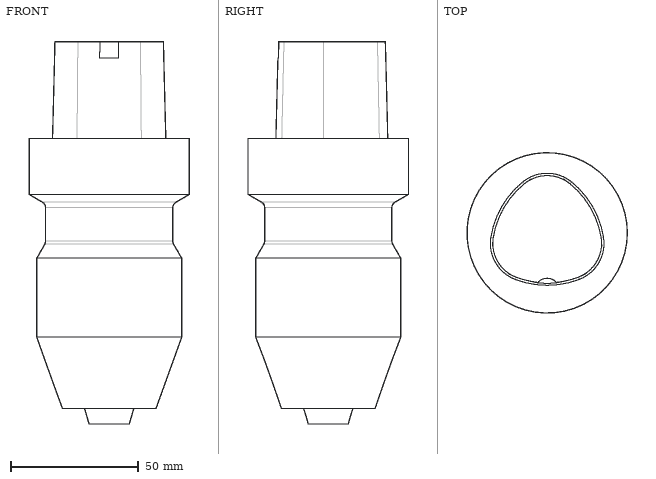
import cadquery as cq
import math

SHANK_LENGTH = 38.0
COLLAR_HEIGHT = 22.0
BODY_TOP = -47.0
BODY_BOTTOM = -78.0
JAW_CONE_BOTTOM = -106.0
NOSE_BOTTOM = -112.1

COLLAR_RADIUS = 63.0 / 2
NECK_RADIUS = 50.0 / 2
BODY_RADIUS = 57.0 / 2
JAW_CONE_END_RADIUS = 18.4
NOSE_TOP_RADIUS = 9.7
NOSE_END_RADIUS = 7.9

COLLAR_CONE_SLOPE = math.radians(30)
BODY_CONE_SLOPE = math.radians(30)
NECK_FILLET_RADIUS = 2.5

MEAN_RADIUS = 22.0
LOBE_HEIGHT = 1.41
LOBE_RADIUS = 15.1
SHANK_TAPER_ANGLE = math.degrees(math.atan(1 / 40))
LOBE_COUNT = 3
FIRST_LOBE_ANGLE = 90

NOTCH_RADIUS = 4.8
NOTCH_LENGTH = 6.4
NOTCH_FLOOR_Y = -17.8


def polar(radius, degrees):
    """Point at a radius and an angle from +X."""
    angle = math.radians(degrees)
    return (radius * math.cos(angle), radius * math.sin(angle))


def make_body():
    """Collar, neck, chuck body, jaw cone and nose, turned about Z."""
    collar_bottom = -COLLAR_HEIGHT
    neck_top = collar_bottom - (COLLAR_RADIUS - NECK_RADIUS) * math.tan(COLLAR_CONE_SLOPE)
    neck_bottom = BODY_TOP + (BODY_RADIUS - NECK_RADIUS) / math.tan(BODY_CONE_SLOPE)
    half_profile = [
        (0, 0),
        (COLLAR_RADIUS, 0),
        (COLLAR_RADIUS, collar_bottom),
        (NECK_RADIUS, neck_top),
        (NECK_RADIUS, neck_bottom),
        (BODY_RADIUS, BODY_TOP),
        (BODY_RADIUS, BODY_BOTTOM),
        (JAW_CONE_END_RADIUS, JAW_CONE_BOTTOM),
        (NOSE_TOP_RADIUS, JAW_CONE_BOTTOM),
        (NOSE_END_RADIUS, NOSE_BOTTOM),
        (0, NOSE_BOTTOM),
    ]
    body = cq.Workplane("XZ").polyline(half_profile).close().revolve(360, (0, 0), (0, 1))
    neck_ends = cq.selectors.BoxSelector(
        (-COLLAR_RADIUS, -COLLAR_RADIUS, neck_bottom - NECK_FILLET_RADIUS),
        (COLLAR_RADIUS, COLLAR_RADIUS, neck_top + NECK_FILLET_RADIUS),
    )
    return body.edges("%CIRCLE").edges(neck_ends).fillet(NECK_FILLET_RADIUS)


def make_shank():
    """Tapered shank whose outline is six tangent arcs: a lobe and a flank, three times."""
    pitch = 360 / LOBE_COUNT
    half_pitch = math.radians(pitch / 2)
    lobe_tip = MEAN_RADIUS + LOBE_HEIGHT
    flank_middle = MEAN_RADIUS - LOBE_HEIGHT
    lobe_offset = lobe_tip - LOBE_RADIUS
    radius_gap = flank_middle - LOBE_RADIUS
    projection = lobe_offset * math.cos(half_pitch)
    flank_offset = (lobe_offset**2 - radius_gap**2) / (2 * (radius_gap - projection))
    flank_radius = flank_middle + flank_offset

    half_span = math.atan2(lobe_offset * math.sin(half_pitch), flank_offset + projection)
    joint_along = flank_radius * math.cos(half_span) - flank_offset
    joint_across = flank_radius * math.sin(half_span)
    joint_radius = math.hypot(joint_along, joint_across)
    joint_angle = math.degrees(math.atan2(joint_across, joint_along))

    first_flank_angle = FIRST_LOBE_ANGLE + pitch / 2
    outline = cq.Workplane("XY").moveTo(*polar(joint_radius, first_flank_angle - joint_angle))
    for index in range(LOBE_COUNT):
        flank_angle = first_flank_angle + index * pitch
        lobe_angle = flank_angle + pitch / 2
        flank_end = polar(joint_radius, flank_angle + joint_angle)
        lobe_end = polar(joint_radius, flank_angle + pitch - joint_angle)
        outline = outline.threePointArc(polar(flank_middle, flank_angle), flank_end)
        outline = outline.threePointArc(polar(lobe_tip, lobe_angle), lobe_end)
    return outline.close().extrude(SHANK_LENGTH, taper=SHANK_TAPER_ANGLE)


def make_notch():
    """Cutter for the notch: an upright cylinder reaching down from the shank's top face."""
    return (
        cq.Workplane("XY")
        .workplane(offset=SHANK_LENGTH - NOTCH_LENGTH)
        .center(0, NOTCH_FLOOR_Y - NOTCH_RADIUS)
        .circle(NOTCH_RADIUS)
        .extrude(NOTCH_LENGTH)
    )


result = make_body().union(make_shank()).cut(make_notch())